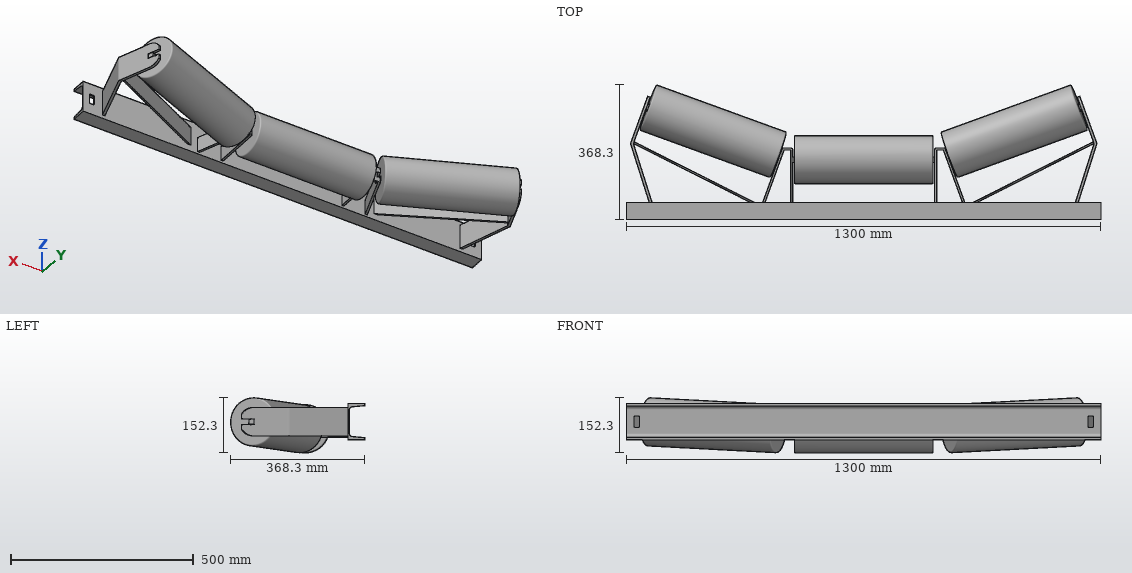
import cadquery as cq
import math


beam_length = 1300.0
beam_height = 100.0
beam_depth = 47.0
web_thickness = 4.5
flange_tip_thickness = 6.0
flange_root_thickness = 10.0
flange_root_radius = 8.0
beam_slot_width = 15.0
beam_slot_height = 31.0
beam_slot_corner = 4.0
beam_slot_inset = 29.0

roller_diameter = 133.0
roller_length = 380.0
roller_edge_radius = 4.0
end_gap = 4.0
shaft_diameter = 22.0
tang_width = 14.0
tang_depth = 15.0
trough_angle = 20.0
wing_x = 412.0
wing_y = 242.0
centre_y = 164.0
centre_drop = 20.0

slot_width = 15.0
slot_floor = 8.0
slot_reach = 65.0
outer_thickness = 8.0
outer_width = 78.0
outer_foot_x = 588.0
outer_bend_reach = 109.0
outer_bend_radius = 10.0
outer_tip_reach = 29.0
tip_round_drop = 4.0
inner_thickness = 6.0
inner_width = 47.0
inner_top_y = 196.0
inner_bend_radius = 6.0

brace_thickness = 5.0
brace_width = 60.0
brace_top = (632.0, 215.0)
brace_foot = (299.0, 47.0)

cos_trough = math.cos(math.radians(trough_angle))
sin_trough = math.sin(math.radians(trough_angle))
half_roller = roller_length / 2
plate_face = half_roller + end_gap
outer_middle = plate_face + outer_thickness / 2
outer_back = plate_face + outer_thickness
inner_middle = plate_face + inner_thickness / 2
inner_back = plate_face + inner_thickness
wing_tilt = math.asin(centre_drop / (outer_middle + inner_middle))
wing_direction = cq.Vector(cos_trough, sin_trough, 0)


def wing_point(along, across):
    """XY point at a distance outward along the wing axis and a distance away from the beam."""
    return (
        wing_x + along * cos_trough - across * sin_trough,
        wing_y + along * sin_trough + across * cos_trough,
    )


def wing_point_at_y(along, y):
    """XY point of the given Y on the plane square to the wing axis."""
    across = (y - wing_point(along, 0)[1]) / cos_trough
    return wing_point(along, across)


def plate(points, width, middle_z):
    """Bent plate with the given XY outline, its width centred on middle_z."""
    bottom = cq.Workplane("XY", origin=(0, 0, middle_z - width / 2))
    return bottom.polyline(points).close().extrude(width)


def plate_section(x, y, z, direction):
    """Workplane in a plate square to `direction`, with its local y pointing away from the beam."""
    return cq.Workplane(cq.Plane(origin=(x, y, z), xDir=(0, 0, -1), normal=direction))


def shaft_slot(x, y, z, direction, thickness):
    """Cutter for a slot open at the bracket top, through a plate of the given thickness."""
    return (
        plate_section(x, y, z, direction)
        .center(0, (slot_reach - slot_floor) / 2)
        .rect(slot_width, slot_reach + slot_floor)
        .extrude(thickness, both=True)
    )


def tip_corners():
    """Cutter that rounds the tip of an outer bracket to a circle as wide as the plate."""
    centre = wing_point(outer_middle, -tip_round_drop)
    section = plate_section(*centre, 0, wing_direction)
    disc = section.circle(outer_width / 2).extrude(outer_thickness, both=True)
    block = section.center(0, outer_width / 2).rect(2 * outer_width, outer_width)
    return block.extrude(outer_thickness, both=True).cut(disc)


def make_beam():
    half_height = beam_height / 2
    web_face = beam_depth - web_thickness
    profile = [
        (beam_depth, -half_height),
        (0, -half_height),
        (0, -half_height + flange_tip_thickness),
        (web_face, -half_height + flange_root_thickness),
        (web_face, half_height - flange_root_thickness),
        (0, half_height - flange_tip_thickness),
        (0, half_height),
        (beam_depth, half_height),
    ]
    beam = cq.Workplane("YZ", origin=(-beam_length / 2, 0, 0)).polyline(profile).close().extrude(beam_length)
    inside = cq.selectors.BoxSelector(
        (-beam_length, web_face / 2, -half_height + flange_tip_thickness),
        (beam_length, web_face + web_thickness / 2, half_height - flange_tip_thickness),
    )
    beam = beam.edges("|X").edges(inside).fillet(flange_root_radius)

    slot_x = beam_length / 2 - beam_slot_inset
    slots = (
        cq.Workplane("XZ")
        .pushPoints([(-slot_x, 0), (slot_x, 0)])
        .rect(beam_slot_width, beam_slot_height)
        .extrude(-beam_depth)
        .edges("|Y")
        .fillet(beam_slot_corner)
    )
    return beam.cut(slots)


def make_outer_bracket():
    leg_thickness_x = outer_thickness / cos_trough
    bend_x, bend_y = wing_point(outer_back, -outer_bend_reach)
    outline = [
        (outer_foot_x, beam_depth),
        (bend_x, bend_y),
        wing_point(outer_back, outer_tip_reach),
        wing_point(plate_face, outer_tip_reach),
        (bend_x - leg_thickness_x, bend_y),
        (outer_foot_x - leg_thickness_x, beam_depth),
    ]
    bracket = plate(outline, outer_width, 0).edges("|Z").edges(">X").fillet(outer_bend_radius)
    slot = shaft_slot(*wing_point(outer_middle, 0), 0, wing_direction, outer_thickness)
    return bracket.cut(tip_corners()).cut(slot)


def make_inner_bracket():
    inside_top = inner_top_y - inner_thickness
    outline = [
        (plate_face, beam_depth),
        (plate_face, inner_top_y),
        wing_point_at_y(-plate_face, inner_top_y),
        wing_point_at_y(-plate_face, beam_depth),
        wing_point_at_y(-inner_back, beam_depth),
        wing_point_at_y(-inner_back, inside_top),
        (inner_back, inside_top),
        (inner_back, beam_depth),
    ]
    bracket = plate(outline, inner_width, -centre_drop)
    bracket = bracket.edges("|Z").edges(">Y").edges("<X").fillet(inner_bend_radius)
    centre_slot = shaft_slot(inner_middle, centre_y, -centre_drop, (1, 0, 0), inner_thickness)
    wing_seat = wing_point(-inner_middle, 0)
    wing_slot = shaft_slot(*wing_seat, -centre_drop, wing_direction, inner_thickness)
    return bracket.cut(centre_slot).cut(wing_slot)


def make_brace():
    run = brace_top[0] - brace_foot[0]
    rise = brace_top[1] - brace_foot[1]
    thickness_y = brace_thickness * math.hypot(run, rise) / run
    outline = [
        brace_foot,
        brace_top,
        (brace_top[0], brace_top[1] - thickness_y),
        (brace_foot[0] + thickness_y * run / rise, brace_foot[1]),
    ]
    return plate(outline, brace_width, 0)


def make_frame():
    """Beam with its brackets and braces, as one welded body."""
    frame = make_beam()
    for part in (make_outer_bracket(), make_inner_bracket(), make_brace()):
        frame = frame.union(part).union(part.mirror("YZ"))
    return frame


def centred_rod(axis, diameter):
    """Cylinder as long as a roller, square to the plane `axis` and centred on it."""
    return cq.Workplane(axis).workplane(offset=-half_roller).circle(diameter / 2).extrude(roller_length)


def make_roller(axis):
    drum = centred_rod(axis, roller_diameter).faces("%PLANE").edges().fillet(roller_edge_radius)
    return drum.cut(centred_rod(axis, shaft_diameter))


def make_shaft(axis, low_end, high_end):
    """Round shaft with flat-sided tangs that reach the far faces of its bracket plates."""
    tang_plane = cq.Workplane(axis).workplane(offset=-low_end)
    tangs = tang_plane.rect(tang_depth, tang_width).extrude(low_end + high_end)
    return centred_rod(axis, shaft_diameter).union(tangs)


def wing_axis(side):
    """Plane square to a wing roller at its middle; side is 1 for +X and -1 for -X."""
    return cq.Plane(
        origin=(side * wing_x, wing_y, -centre_drop / 2),
        xDir=(-side * sin_trough, cos_trough, 0),
        normal=(
            side * cos_trough * math.cos(wing_tilt),
            sin_trough * math.cos(wing_tilt),
            math.sin(wing_tilt),
        ),
    )


centre_axis = cq.Plane(origin=(0, centre_y, -centre_drop), xDir=(0, 1, 0), normal=(1, 0, 0))
wing_axes = [wing_axis(-1), wing_axis(1)]

frame = make_frame()
rollers = [make_roller(axis) for axis in [centre_axis, *wing_axes]]
centre_shaft = make_shaft(centre_axis, inner_back, inner_back)
wing_shafts = [make_shaft(axis, inner_back, outer_back) for axis in wing_axes]

result = cq.Compound.makeCompound(
    [
        frame.val(),
        *[roller.val() for roller in rollers],
        centre_shaft.val(),
        *[shaft.val() for shaft in wing_shafts],
    ]
)